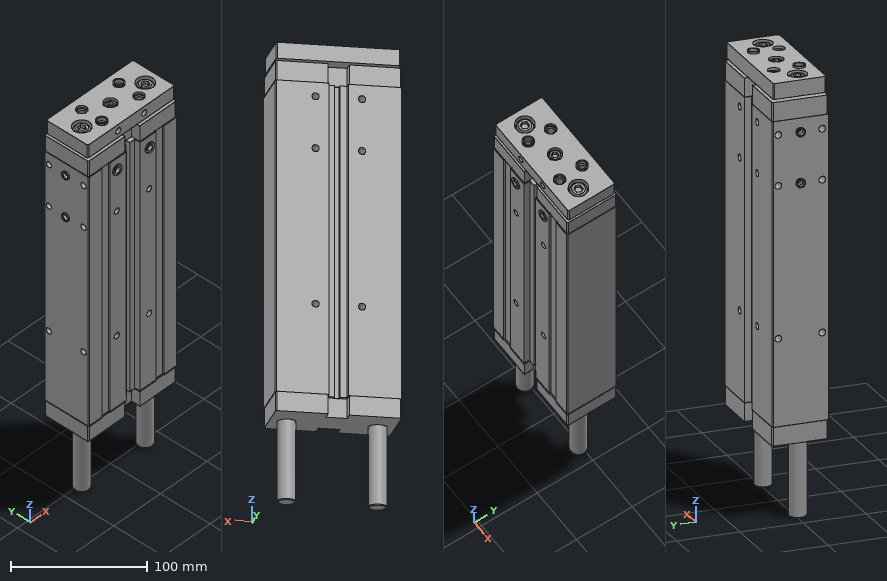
import cadquery as cq
import math


BODY_WIDTH = 95.0
CAP_WIDTH = 94.3
CAP_DEPTH = 44.0
CAP_HEIGHT = 15.0
CAP_CHAMFER = 1.0
CAP_NOTCH_WIDTH = 16.0
CAP_NOTCH_DEPTH = 8.5
HOUSING_HEIGHT = 240.0
HOUSING_CHAMFER = 0.7
HOUSING_PROUD = 0.7
BODY_BOTTOM = 62.0

HOUSING_BOTTOM = BODY_BOTTOM + CAP_HEIGHT
HOUSING_TOP = HOUSING_BOTTOM + HOUSING_HEIGHT
BODY_TOP = HOUSING_TOP + CAP_HEIGHT
BACK_Y = CAP_DEPTH / 2
CAP_FRONT_Y = -CAP_DEPTH / 2
FRONT_Y = CAP_FRONT_Y - HOUSING_PROUD
SIDE_X = -BODY_WIDTH / 2

CENTRE_GROOVE_WIDTH = 14.5
CENTRE_GROOVE_DEPTH = 5.2
INNER_SLOT_WIDTH = 4.0
INNER_SLOT_DEPTH = 4.0
SIDE_GROOVE_INNER_X = 24.7
SIDE_GROOVE_OUTER_X = 33.5
SIDE_GROOVE_DEPTH = 1.7

SLEEVE_PROUD = 1.5
FRONT_SLEEVE_PROUD = 1.0
SLEEVE_SEAT = 2.0
LARGE_SLEEVE = 9.0
PLATE_SLEEVE_BORE = 7.0
FRONT_SLEEVE_BORE = 5.2
SMALL_SLEEVE = 7.0
SMALL_SLEEVE_BORE = 5.2

FIRST_ROW_DROP = 10.8
SHORT_ROW_SPACING = 40.0
LONG_ROW_SPACING = 120.0
FIRST_ROW_Z = HOUSING_TOP - FIRST_ROW_DROP
SECOND_ROW_Z = FIRST_ROW_Z - SHORT_ROW_SPACING
THIRD_ROW_Z = SECOND_ROW_Z - LONG_ROW_SPACING
ROWS_Z = (FIRST_ROW_Z, SECOND_ROW_Z, THIRD_ROW_Z)
CENTRING_ROWS_Z = ROWS_Z[:2]
HOLE_OFFSET = 17.5
THREAD_HOLE = 5.2
SIDE_HOLE_DEPTH = 10.0
PILOT_HOLE_DEPTH = 5.5
DRILL_TIP_RATIO = 0.6

PLATE_WIDTH = 93.2
PLATE_DEPTH = 42.0
PLATE_CHAMFER = 1.0
OVERALL_HEIGHT = 347.8
PLATE_TOP = OVERALL_HEIGHT - SLEEVE_PROUD
PLATE_GAP = 2.0
PLATE_BOTTOM = BODY_TOP + PLATE_GAP
PLATE_HEIGHT = PLATE_TOP - PLATE_BOTTOM
ROD_DIAMETER = 14.0
ROD_CHAMFER = 0.7
ROD_X = 34.0
ROD_Y = -3.0
PISTON_ROD_DIAMETER = 10.0
PLATE_HOLE_SPACING_X = 40.0
PLATE_HOLE_SPACING_Y = 20.0
PLATE_HOLE_X = PLATE_HOLE_SPACING_X / 2
PLATE_HOLE_Y = PLATE_HOLE_SPACING_Y / 2
PLATE_FRONT_HOLE_X = 14.0
PLATE_FRONT_HOLE_DEPTH = 6.3
PLATE_HOLE_MOUTH = 7.0

ROD_HEAD_RECESS = 15.0
ROD_HEAD = 13.0
ROD_HEAD_CHAMFER = 1.5
ROD_HEAD_HEX = 6.0
PISTON_HEAD_RECESS = 11.0
PISTON_HEAD = 10.0
PISTON_HEAD_CHAMFER = 1.0
PISTON_HEAD_HEX = 5.0
HEAD_RECESS_DEPTH = 6.3
HEAD_HEIGHT = 5.2
HEX_DEPTH = 3.0
HEX_CORNERS_OVER_FLATS = 2 / math.sqrt(3)

OUTWARD_FRONT = (0, -1, 0)
OUTWARD_SIDE = (-1, 0, 0)
OUTWARD_TOP = (0, 0, 1)


def plane_at(point, outward):
    """A plane at a point on a face, with its normal pointing out of the body."""
    return cq.Plane(origin=point, normal=outward)


def block(width, back_y, front_y, bottom, height):
    """A box centred in X between two Y positions."""
    base = cq.Workplane("XY", origin=(0, (back_y + front_y) / 2, bottom))
    return base.rect(width, back_y - front_y).extrude(height)


def rod(x, y, diameter, bottom, top):
    return cq.Workplane("XY", origin=(x, y, bottom)).circle(diameter / 2).extrude(top - bottom)


def bore(point, outward, diameter, depth):
    """Cutter for a flat-bottomed hole running into a face."""
    return cq.Workplane(plane_at(point, outward)).circle(diameter / 2).extrude(-depth)


def drilled_hole(point, outward, diameter, depth):
    """Cutter for a blind hole with a drill-tip bottom."""
    radius = diameter / 2
    inward = cq.Vector(*outward) * -1
    tip_base = cq.Vector(*point) + inward * depth
    tip = cq.Solid.makeCone(radius, 0, radius * DRILL_TIP_RATIO, pnt=tip_base, dir=inward)
    return bore(point, outward, diameter, depth).union(cq.Workplane(tip))


def centring_sleeve(point, outward, outer, inner, proud):
    """A ring seated in a face and standing proud of it."""
    seat = cq.Workplane(plane_at(point, outward)).workplane(offset=-SLEEVE_SEAT)
    return seat.circle(outer / 2).circle(inner / 2).extrude(SLEEVE_SEAT + proud)


def rod_pair(bottom, top):
    """Two cylinders on the guide rod axes, used for the rods and for their bores."""
    return [rod(side * ROD_X, ROD_Y, ROD_DIAMETER, bottom, top) for side in (-1, 1)]


def cut_guide_bores(body):
    for guide_bore in rod_pair(BODY_BOTTOM, BODY_TOP):
        body = body.cut(guide_bore)
    return body


def cut_centre_groove(body, front_y, width, depth, bottom, height):
    """Cut a groove along the middle of the front and its counterpart along the back."""
    front = block(width, front_y + depth, front_y, bottom, height)
    back = block(width, BACK_Y, BACK_Y - depth, bottom, height)
    return body.cut(front).cut(back)


FRONT_CENTRING_POINTS = [(side * HOLE_OFFSET, FRONT_Y, FIRST_ROW_Z) for side in (-1, 1)]
SIDE_CENTRING_POINTS = [(SIDE_X, 0, z) for z in CENTRING_ROWS_Z]
PLATE_HOLE_POINTS = [(i * PLATE_HOLE_X, j * PLATE_HOLE_Y, PLATE_TOP) for i in (-1, 1) for j in (-1, 1)]
PLATE_SLEEVE_POINTS = [(side * PLATE_HOLE_X, side * PLATE_HOLE_Y, PLATE_TOP) for side in (-1, 1)]


def make_housing():
    housing = block(BODY_WIDTH, BACK_Y, FRONT_Y, HOUSING_BOTTOM, HOUSING_HEIGHT)
    housing = housing.edges("|Z").chamfer(HOUSING_CHAMFER)

    slot_depth = CENTRE_GROOVE_DEPTH + INNER_SLOT_DEPTH
    steps = ((CENTRE_GROOVE_WIDTH, CENTRE_GROOVE_DEPTH), (INNER_SLOT_WIDTH, slot_depth))
    for width, depth in steps:
        housing = cut_centre_groove(housing, FRONT_Y, width, depth, HOUSING_BOTTOM, HOUSING_HEIGHT)

    groove_x = (SIDE_GROOVE_INNER_X + SIDE_GROOVE_OUTER_X) / 2
    groove_width = SIDE_GROOVE_OUTER_X - SIDE_GROOVE_INNER_X
    groove = block(groove_width, FRONT_Y + SIDE_GROOVE_DEPTH, FRONT_Y, HOUSING_BOTTOM, HOUSING_HEIGHT)
    for side in (-1, 1):
        housing = housing.cut(groove.translate((side * groove_x, 0, 0)))

    for side in (-1, 1):
        for z in ROWS_Z:
            point = (side * HOLE_OFFSET, FRONT_Y, z)
            housing = housing.cut(bore(point, OUTWARD_FRONT, THREAD_HOLE, BACK_Y - FRONT_Y))
    for point in FRONT_CENTRING_POINTS:
        housing = housing.cut(bore(point, OUTWARD_FRONT, LARGE_SLEEVE, SLEEVE_SEAT))

    for side in (-1, 1):
        for z in ROWS_Z:
            point = (SIDE_X, side * HOLE_OFFSET, z)
            housing = housing.cut(drilled_hole(point, OUTWARD_SIDE, THREAD_HOLE, SIDE_HOLE_DEPTH))
    for point in SIDE_CENTRING_POINTS:
        housing = housing.cut(bore(point, OUTWARD_SIDE, SMALL_SLEEVE, SLEEVE_SEAT))
        housing = housing.cut(bore(point, OUTWARD_SIDE, THREAD_HOLE, PILOT_HOLE_DEPTH))

    return cut_guide_bores(housing)


def make_cap(bottom):
    cap = block(CAP_WIDTH, BACK_Y, CAP_FRONT_Y, bottom, CAP_HEIGHT).edges("|Z").chamfer(CAP_CHAMFER)
    cap = cut_centre_groove(cap, CAP_FRONT_Y, CAP_NOTCH_WIDTH, CAP_NOTCH_DEPTH, bottom, CAP_HEIGHT)
    return cut_guide_bores(cap)


def make_top_cap():
    piston_bore = rod(0, 0, PISTON_ROD_DIAMETER, HOUSING_TOP, BODY_TOP)
    return make_cap(HOUSING_TOP).cut(piston_bore)


def sunk_screw_head(plate, x, y, recess, head, chamfer, hex_flats):
    """Recess a socket head into the plate top."""
    floor = PLATE_TOP - HEAD_RECESS_DEPTH
    socket = (
        cq.Workplane("XY", origin=(x, y, floor + HEAD_HEIGHT))
        .polygon(6, hex_flats * HEX_CORNERS_OVER_FLATS)
        .extrude(-HEX_DEPTH)
    )
    plate = plate.cut(rod(x, y, recess, floor, PLATE_TOP))
    screw_head = rod(x, y, head, floor, floor + HEAD_HEIGHT).faces(">Z").chamfer(chamfer)
    return plate.union(screw_head).cut(socket)


def make_moving_unit():
    plate = block(PLATE_WIDTH, PLATE_DEPTH / 2, -PLATE_DEPTH / 2, PLATE_BOTTOM, PLATE_HEIGHT)
    plate = plate.edges("|Z").chamfer(PLATE_CHAMFER)

    for side in (-1, 1):
        plate = sunk_screw_head(
            plate, side * ROD_X, ROD_Y, ROD_HEAD_RECESS, ROD_HEAD, ROD_HEAD_CHAMFER, ROD_HEAD_HEX
        )
    plate = sunk_screw_head(
        plate, 0, 0, PISTON_HEAD_RECESS, PISTON_HEAD, PISTON_HEAD_CHAMFER, PISTON_HEAD_HEX
    )

    countersink_depth = (PLATE_HOLE_MOUTH - THREAD_HOLE) / 2
    for point in PLATE_HOLE_POINTS:
        plate = plate.cut(bore(point, OUTWARD_TOP, LARGE_SLEEVE, SLEEVE_SEAT))
        plate = plate.cut(bore(point, OUTWARD_TOP, THREAD_HOLE, PLATE_HEIGHT))
        seat = cq.Vector(*point) - cq.Vector(0, 0, SLEEVE_SEAT)
        countersink = cq.Solid.makeCone(
            PLATE_HOLE_MOUTH / 2, THREAD_HOLE / 2, countersink_depth, pnt=seat, dir=cq.Vector(0, 0, -1)
        )
        plate = plate.cut(cq.Workplane(countersink))

    for side in (-1, 1):
        point = (side * PLATE_FRONT_HOLE_X, -PLATE_DEPTH / 2, PLATE_BOTTOM + PLATE_HEIGHT / 2)
        plate = plate.cut(drilled_hole(point, OUTWARD_FRONT, THREAD_HOLE, PLATE_FRONT_HOLE_DEPTH))

    moving_unit = plate.union(rod(0, 0, PISTON_ROD_DIAMETER, HOUSING_TOP, PLATE_BOTTOM))
    for guide_rod in rod_pair(0, PLATE_BOTTOM):
        moving_unit = moving_unit.union(guide_rod.faces("<Z").chamfer(ROD_CHAMFER))
    return moving_unit


def make_sleeves(points, outward, outer, inner, proud=SLEEVE_PROUD):
    return [centring_sleeve(point, outward, outer, inner, proud).val() for point in points]


housing = make_housing()
bottom_cap = make_cap(BODY_BOTTOM)
top_cap = make_top_cap()
moving_unit = make_moving_unit()
front_sleeves = make_sleeves(
    FRONT_CENTRING_POINTS, OUTWARD_FRONT, LARGE_SLEEVE, FRONT_SLEEVE_BORE, FRONT_SLEEVE_PROUD
)
side_sleeves = make_sleeves(SIDE_CENTRING_POINTS, OUTWARD_SIDE, SMALL_SLEEVE, SMALL_SLEEVE_BORE)
plate_sleeves = make_sleeves(PLATE_SLEEVE_POINTS, OUTWARD_TOP, LARGE_SLEEVE, PLATE_SLEEVE_BORE)

result = cq.Compound.makeCompound(
    [
        housing.val(),
        bottom_cap.val(),
        top_cap.val(),
        moving_unit.val(),
        *front_sleeves,
        *side_sleeves,
        *plate_sleeves,
    ]
)